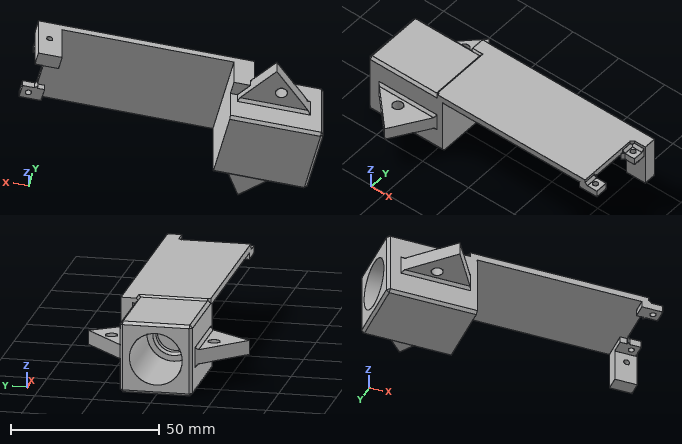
import cadquery as cq

import math

LENGTH = 100.5
HEIGHT = 25.7
EAR_SPAN = 55.7
EDGE = 1.0

BLOCK_SIZE = 25.0
BLOCK_LENGTH = 32.6
END_WALL_X = 30.2
SIDE = BLOCK_SIZE / 2
AXIS_Z = BLOCK_SIZE / 2

BORE_DIAMETER = 18.2
BORE_DEPTH = 28.1
RECESS_DIAMETER = 12.4
RECESS_MOUTH_DIAMETER = 14.2
RECESS_DEPTH = 3.0

PLATE_THICKNESS = 2.5
PLATE_WIDTH = 30.0
PLATE_SIDE = PLATE_WIDTH - SIDE
SHOULDER_X = 25.4

EAR_THICKNESS = 5.0
EAR_START_X = 4.8
EAR_TIP_X = 20.1
EAR_REACH = 15.6
RIGHT_TIP_Y = SIDE + EAR_REACH
LEFT_TIP_Y = EAR_SPAN - RIGHT_TIP_Y
EAR_HOLE_X = 16.4
RIGHT_HOLE_Y = 16.6
LEFT_HOLE_Y = 18.8
EAR_HOLE_DIAMETER = 4.0
EAR_TOP = AXIS_Z + EAR_THICKNESS / 2

LEG_X = 92.3
LEG_BOTTOM = 8.5
LEG_HOLE_X = 96.6
LEG_HOLE_Z = 17.3
SMALL_HOLE_DIAMETER = 2.0
NOTCH_X = 94.8
TAB_END_X = 99.9
TAB_BOTTOM = 20.9
TAB_TOP = 23.6
TAB_WIDTH = 5.0
TAB_HOLE_X = 97.3
TAB_OUTER_SIDES = (-SIDE, SIDE)


def box(x0, x1, y0, y1, z0, z1):
    """Axis-aligned box between two opposite corners."""
    return cq.Workplane("XY").box(x1 - x0, y1 - y0, z1 - z0, centered=False).translate((x0, y0, z0))


def prism_x(points, x0, x1):
    """Extrude a (Y, Z) outline along X."""
    return cq.Workplane("YZ", origin=(x0, 0, 0)).polyline(points).close().extrude(x1 - x0)


def prism_y(points, y0, y1):
    """Extrude an (X, Z) outline along Y."""
    return cq.Workplane("XZ", origin=(0, y1, 0)).polyline(points).close().extrude(y1 - y0)


def prism_z(points, z0, z1):
    """Extrude an (X, Y) outline along Z."""
    return cq.Workplane("XY", origin=(0, 0, z0)).polyline(points).close().extrude(z1 - z0)


def socket_block():
    block = box(0, BLOCK_LENGTH, -SIDE, SIDE, 0, BLOCK_SIZE)
    return block.edges("|X or <X").chamfer(EDGE)


def shoulder():
    """Raised end wall and side shoulder, with slopes where they meet the block."""
    wall = box(END_WALL_X, BLOCK_LENGTH, -SIDE, SIDE, AXIS_Z, HEIGHT)
    side = box(SHOULDER_X, BLOCK_LENGTH, SIDE - EDGE, PLATE_SIDE, AXIS_Z, HEIGHT)

    step = HEIGHT - BLOCK_SIZE
    inset = EDGE - step
    low = BLOCK_SIZE - EDGE
    wall_slope = prism_y(
        [
            (END_WALL_X, low),
            (END_WALL_X - EDGE, low),
            (END_WALL_X - EDGE, BLOCK_SIZE),
            (END_WALL_X - inset, HEIGHT),
            (END_WALL_X, HEIGHT),
        ],
        -SIDE + EDGE,
        SIDE,
    )
    side_cut = prism_x(
        [(SIDE - EDGE, BLOCK_SIZE), (SIDE - inset, HEIGHT), (SIDE - EDGE, HEIGHT)],
        SHOULDER_X,
        END_WALL_X,
    )
    corner_slope = prism_z(
        [(SHOULDER_X - EDGE, SIDE), (SHOULDER_X, SIDE), (SHOULDER_X, SIDE + EDGE)],
        EAR_TOP,
        BLOCK_SIZE - EDGE,
    )
    ear_slope = prism_y(
        [(SHOULDER_X - EDGE, EAR_TOP), (SHOULDER_X, EAR_TOP), (SHOULDER_X, EAR_TOP + EDGE)],
        SIDE,
        PLATE_SIDE,
    )
    return side.cut(side_cut).union(wall).union(wall_slope).union(corner_slope).union(ear_slope)


def ear(tip_y, hole_y):
    """Triangular ear on the -Y side; tip_y and hole_y are distances from the bore axis."""
    half = EAR_THICKNESS / 2
    root = -SIDE
    section = prism_x(
        [
            (root, AXIS_Z - half - EDGE),
            (root - EDGE, AXIS_Z - half),
            (-tip_y, AXIS_Z - half),
            (-tip_y, AXIS_Z + half),
            (root - EDGE, AXIS_Z + half),
            (root, AXIS_Z + half + EDGE),
        ],
        EAR_START_X,
        END_WALL_X,
    )
    triangle = prism_z([(EAR_START_X, root), (EAR_TIP_X, -tip_y), (END_WALL_X, root)], 0, HEIGHT)
    hole = cq.Workplane("XY").center(EAR_HOLE_X, -hole_y).circle(EAR_HOLE_DIAMETER / 2).extrude(HEIGHT)
    return section.intersect(triangle).cut(hole)


def bore():
    mouth_radius = RECESS_MOUTH_DIAMETER / 2
    recess_radius = RECESS_DIAMETER / 2
    taper_end = BORE_DEPTH + mouth_radius - recess_radius
    recess_end = BORE_DEPTH + RECESS_DEPTH
    profile = [
        (0, 0),
        (0, BORE_DIAMETER / 2),
        (BORE_DEPTH, BORE_DIAMETER / 2),
        (BORE_DEPTH, mouth_radius),
        (taper_end, recess_radius),
        (recess_end, recess_radius),
        (recess_end, 0),
    ]
    solid = cq.Workplane("XY").polyline(profile).close().revolve(360, (0, 0, 0), (1, 0, 0))
    return solid.translate((0, 0, AXIS_Z))


def plate_and_leg():
    plate = box(END_WALL_X, NOTCH_X, -SIDE, PLATE_SIDE, HEIGHT - PLATE_THICKNESS, HEIGHT)
    arm = box(END_WALL_X, LENGTH, SIDE, PLATE_SIDE, HEIGHT - PLATE_THICKNESS, HEIGHT)
    leg = box(LEG_X, LENGTH, SIDE, PLATE_SIDE, LEG_BOTTOM, HEIGHT)
    hole = (
        cq.Workplane("XZ", origin=(LEG_HOLE_X, PLATE_SIDE, LEG_HOLE_Z))
        .circle(SMALL_HOLE_DIAMETER / 2)
        .extrude(TAB_WIDTH)
    )
    return plate.union(arm).union(leg.cut(hole))


def tab(outer):
    """Tab reaching inward from the given outer Y, sloped where it meets the plate."""
    inner = outer - math.copysign(TAB_WIDTH, outer)
    flared = inner - math.copysign(EDGE, outer)
    body = prism_z(
        [
            (LEG_X, outer),
            (TAB_END_X, outer),
            (TAB_END_X, inner),
            (NOTCH_X + EDGE, inner),
            (NOTCH_X, flared),
            (NOTCH_X, inner),
            (LEG_X, inner),
        ],
        TAB_BOTTOM,
        TAB_TOP,
    )
    slope = prism_y(
        [(NOTCH_X, TAB_TOP), (NOTCH_X + EDGE, TAB_TOP), (NOTCH_X, TAB_TOP + EDGE)],
        min(inner, outer),
        max(inner, outer),
    )
    hole = (
        cq.Workplane("XY", origin=(TAB_HOLE_X, (inner + outer) / 2, TAB_BOTTOM))
        .circle(SMALL_HOLE_DIAMETER / 2)
        .extrude(HEIGHT - TAB_BOTTOM)
    )
    return body.union(slope).cut(hole)


def leg_slopes():
    """Slopes where the arm above the leg meets the tab beside it and the end of the plate."""
    along_tab = prism_x(
        [(SIDE, TAB_TOP), (SIDE - EDGE, TAB_TOP), (SIDE, TAB_TOP + EDGE)],
        NOTCH_X,
        TAB_END_X,
    )
    corner = prism_z([(NOTCH_X, SIDE), (NOTCH_X + EDGE, SIDE), (NOTCH_X, SIDE - EDGE)], TAB_TOP, HEIGHT)
    return along_tab.union(corner)


result = socket_block().union(shoulder()).union(plate_and_leg())
result = result.union(ear(RIGHT_TIP_Y, RIGHT_HOLE_Y))
result = result.union(ear(LEFT_TIP_Y, LEFT_HOLE_Y).mirror("XZ"))
for outer_side in TAB_OUTER_SIDES:
    result = result.union(tab(outer_side))
result = result.union(leg_slopes()).cut(bore())